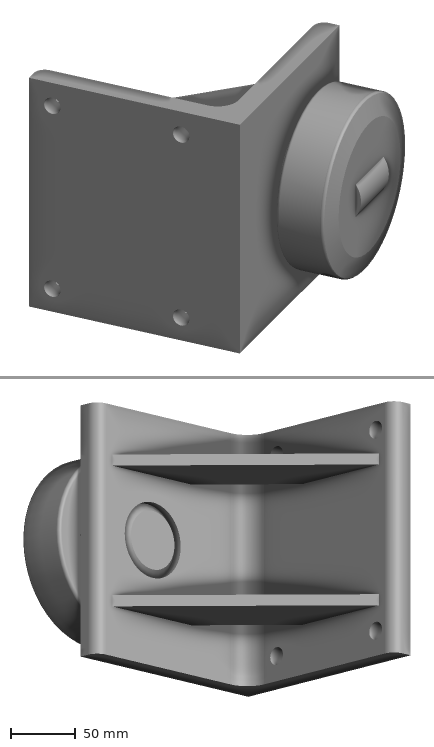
import cadquery as cq

height = 200.0
leg = 180.0
thickness = 18.1
inner_radius = 18.0
toe_radius = 9.5

hole_diameter = 14.0
hole_edge_distance = 20.0
hole_spacing_x = 110.0

rib_thickness = 8.8
rib_gap = 103.3
rib_outer_setback = 16.2
rib_inner_setback = 101.4

axis_y = 120.2
pin_diameter = 60.0
pin_chamfer = 6.7
collar_diameter = 103.5
collar_width = 8.8
wheel_radius = 74.5
wheel_width = 45.0
rim_fillet = 2.9
crown_depth = 4.3
crown_start_radius = 73.2
face_radius = 55.8

overall_length = 238.5
roller_radius = 24.3
roller_length = 50.3

mid_z = height / 2
inner_face_x = leg - thickness


def make_rib(bottom_z):
    """45 degree strut with its ends on the inner faces of the two legs."""
    points = [
        (rib_outer_setback, thickness),
        (rib_inner_setback, thickness),
        (inner_face_x, leg - rib_inner_setback),
        (inner_face_x, leg - rib_outer_setback),
    ]
    return cq.Workplane("XY", origin=(0, 0, bottom_z)).polyline(points).close().extrude(rib_thickness)


def make_bracket():
    outline = [
        (0, 0),
        (leg, 0),
        (leg, leg),
        (inner_face_x, leg),
        (inner_face_x, thickness),
        (0, thickness),
    ]
    bracket = cq.Workplane("XY").polyline(outline).close().extrude(height)
    bracket = bracket.edges(cq.NearestToPointSelector((inner_face_x, thickness, mid_z))).fillet(inner_radius)
    for toe in [(0, thickness, mid_z), (inner_face_x, leg, mid_z)]:
        bracket = bracket.edges(cq.NearestToPointSelector(toe)).fillet(toe_radius)

    for bottom_z in [mid_z - rib_gap / 2 - rib_thickness, mid_z + rib_gap / 2]:
        bracket = bracket.union(make_rib(bottom_z))

    hole_centers = [
        (x, z)
        for x in [hole_edge_distance, hole_edge_distance + hole_spacing_x]
        for z in [hole_edge_distance, height - hole_edge_distance]
    ]
    mounting_holes = cq.Workplane("XZ").pushPoints(hole_centers).circle(hole_diameter / 2).extrude(-thickness)
    pin_hole = (
        cq.Workplane("YZ", origin=(inner_face_x, axis_y, mid_z))
        .circle(pin_diameter / 2)
        .extrude(thickness)
    )
    return bracket.cut(mounting_holes).cut(pin_hole)


def make_bearing():
    """Pin, collar and crowned wheel in one piece, with the side roller at the end."""
    pin_radius = pin_diameter / 2
    collar_radius = collar_diameter / 2
    wheel_start = leg + collar_width
    wheel_end = wheel_start + wheel_width
    crown_start = wheel_end - crown_depth

    bearing = (
        cq.Workplane("XY")
        .moveTo(inner_face_x, 0)
        .lineTo(inner_face_x, pin_radius - pin_chamfer)
        .lineTo(inner_face_x + pin_chamfer, pin_radius)
        .lineTo(leg, pin_radius)
        .lineTo(leg, collar_radius)
        .lineTo(wheel_start, collar_radius)
        .lineTo(wheel_start, wheel_radius - rim_fillet)
        .radiusArc((wheel_start + rim_fillet, wheel_radius), rim_fillet)
        .lineTo(crown_start - rim_fillet, wheel_radius)
        .radiusArc((crown_start, crown_start_radius), rim_fillet)
        .lineTo(wheel_end, face_radius)
        .lineTo(wheel_end, 0)
        .close()
        .revolve(360, (0, 0, 0), (1, 0, 0))
        .translate((0, axis_y, mid_z))
    )
    roller = (
        cq.Workplane("XZ", origin=(overall_length - roller_radius, axis_y, mid_z))
        .circle(roller_radius)
        .extrude(roller_length / 2, both=True)
    )
    return bearing.union(roller)


bracket = make_bracket()
bearing = make_bearing()

result = cq.Compound.makeCompound([bracket.val(), bearing.val()])